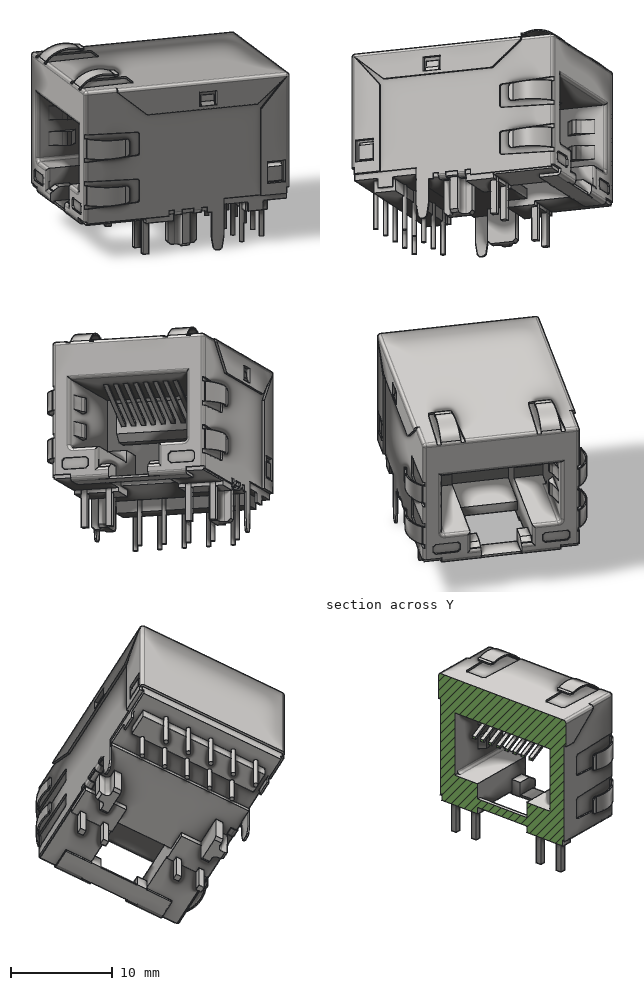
import cadquery as cq

sheet = 0.24
bend = 0.35
length = 21.37
top_z = 17.42

shield_half = 7.86
cover_half = shield_half + sheet
housing_half = 7.71
shield_back = length - sheet
shield_front_bottom = 3.91
shield_rear_bottom = 5.17
shield_notch_y = (8.83, 12.8)
shield_notch_top = 4.47
housing_bottom = 4.05
housing_front_bottom = 3.75
housing_rear_bottom = 4.55
face_bottom = 4.1
lip_bottom = 3.45
lip_top = lip_bottom + sheet
lip_half = 5.96
lip_length = 2.29
lip_radius = 0.43
lip_setback = 0.35

cover_front = 3.4
cover_back_bottom = 5.8
cover_corner_y = 21.0
cover_corner_z = 17.05
flap_bottom = 14.53
flap_slope_run = 3.05
rear_flap_front = 18.34
rear_flap_peak = 14.0

window_depth = 0.38
upper_window_y = (11.92, 13.72)
upper_window_z = (14.87, 16.3)
upper_catch_y = (12.14, 13.55)
upper_catch_profile = [(window_depth, 14.87), (0.06, 14.87), (0.25, 15.28), (0.3, 15.92), (window_depth, 15.92)]
lower_window_y = (19.02, 20.88)
lower_window_z = (6.35, 8.57)
lower_catch_y = (19.02, 20.55)
lower_catch_profile = [(window_depth, 6.54), (0.09, 6.54), (0.09, 8.01), (window_depth, 8.33)]

cavity_half = 5.98
cavity_top = 13.6
cavity_corner = 0.32
ledge_z = 6.73
raised_ledge_z = 7.93
raised_ledge_y = 8.98
channel_half = 3.1
channel_step_z = 4.65
notch_half = 2.03
floor_z = 5.06
floor_front = 7.27
cavity_depth = 11.75
block_front = 0.32
block_back = 2.35
mouth_radius = 0.32
plug_spring_heights = (8.9, 11.52)

finger_reach = 4.34
finger_thickness = 0.15
finger_front_half = 1.0
finger_back_half = 0.88
slot_front_half = 1.4
slot_back_half = 1.18
slot_depth = 0.2
slot_length = 5.73
slot_corner = 0.25
finger_corner = 0.28
top_finger_peak = 18.5
side_finger_peak = 9.06
top_finger_x = 5.02
side_finger_heights = (6.82, 11.6)

pin_diameter = 0.45
pin_pitch = 1.26
pin_count = 10
pin_rows = (19.7, 17.18)
led_pin_size = 0.6
led_pin_y = 6.73
led_pin_places = (4.1, 6.65)


def box(x, y, z):
    """Box from (low, high) pairs along each axis."""
    size = (x[1] - x[0], y[1] - y[0], z[1] - z[0])
    return cq.Workplane("XY").box(*size, centered=False).translate((x[0], y[0], z[0]))


def centred_box(half_width, y, z):
    return box((-half_width, half_width), y, z)


def side_prism(points, x):
    """Prism with a (y, z) outline, spanning the (low, high) pair along X."""
    return cq.Workplane("YZ").polyline(points).close().extrude(x[1] - x[0]).translate((x[0], 0, 0))


def on_both_sides(shape):
    return shape.union(shape.mirror("YZ"))


def shield():
    body = centred_box(shield_half, (0, shield_back), (shield_front_bottom, top_z))
    body = body.edges("|Z and <Y").fillet(bend)
    body = body.faces(">Z").edges().fillet(bend)
    corner_relief = box((lip_half, cover_half), (0, sheet), (0, face_bottom))
    rear_relief_front = 14.55
    rear_relief = centred_box(cover_half, (rear_relief_front, length), (0, shield_rear_bottom))
    underside = centred_box(housing_half, (sheet, shield_back), (0, housing_bottom))
    body = body.cut(on_both_sides(corner_relief)).cut(rear_relief).cut(underside)
    lip = centred_box(lip_half, (0, lip_length), (lip_bottom, face_bottom))
    lip = lip.edges("<Y and <Z").fillet(lip_radius)
    square_edge = centred_box(notch_half, (lip_setback, lip_length), (lip_bottom, lip_top))
    setback = centred_box(notch_half, (0, lip_setback), (0, lip_top))
    return body.union(lip).cut(setback).union(square_edge)


def ground_leg():
    back, front, thickness = 14.55, 13.27, 0.2
    taper_start, tip_inset, tip_chamfer = 1.37, 0.2, 0.21
    outline = [
        (front, shield_rear_bottom), (front, taper_start), (front + tip_inset, tip_chamfer),
        (front + tip_inset + tip_chamfer, 0), (back - tip_inset - tip_chamfer, 0),
        (back - tip_inset, tip_chamfer), (back, taper_start), (back, shield_rear_bottom),
    ]
    return side_prism(outline, (shield_half - thickness, shield_half))


def housing():
    front_step, rear_step = 6.45, 14.7
    outline = [
        (sheet, housing_front_bottom), (front_step, housing_front_bottom),
        (front_step, housing_bottom), (rear_step, housing_bottom), (rear_step, housing_rear_bottom),
        (shield_back, housing_rear_bottom), (shield_back, floor_z + bend), (sheet, floor_z + bend),
    ]
    body = side_prism(outline, (-housing_half, housing_half))

    tab_front, tab_back, tab_bottom = 17.14, 18.68, 3.6
    root_radius, tab_width = 0.21, 0.2
    tab_root = housing_rear_bottom - root_radius
    tab = (
        cq.Workplane("YZ").moveTo(tab_front - root_radius, housing_rear_bottom)
        .radiusArc((tab_front, tab_root), root_radius)
        .lineTo(tab_front, tab_bottom).lineTo(tab_back, tab_bottom).lineTo(tab_back, tab_root)
        .radiusArc((tab_back + root_radius, housing_rear_bottom), root_radius)
        .lineTo(tab_back + root_radius, floor_z).lineTo(tab_front - root_radius, floor_z)
        .close().extrude(tab_width).translate((housing_half - tab_width, 0, 0))
    )

    seat_z = 3.35
    rear_seat_half, front_seat_half = 6.84, 7.67
    rear_seat = centred_box(rear_seat_half, (17.15, 19.45), (seat_z, housing_rear_bottom))
    front_seat = box((channel_half, front_seat_half), (front_step, 9.34), (seat_z, housing_bottom))
    return body.union(rear_seat).union(on_both_sides(tab.union(front_seat)))


def mounting_post():
    """T-shaped locating post with chamfered tips and rounded inner corners."""
    centre_x, centre_y, bottom = 5.7, 10.83, 0.5
    arm_reach, arm_half = 1.5, 0.4
    corner_radius, tip_chamfer = 0.43, 0.3
    arm_z = (bottom, housing_bottom)
    bar = centred_box(arm_half, (-arm_reach, arm_reach), arm_z)
    bar = bar.faces("<Z").edges("|X").chamfer(tip_chamfer)
    arm = box((0, arm_reach), (-arm_half, arm_half), arm_z)
    arm = arm.faces("<Z").edges(">X").chamfer(tip_chamfer)
    margin = 0.02
    corners = cq.selectors.BoxSelector(
        (arm_half - margin, -arm_half - margin, 0), (arm_half + margin, arm_half + margin, housing_bottom))
    post = bar.union(arm).edges("|Z").edges(corners).fillet(corner_radius)
    return post.translate((centre_x, centre_y, 0))


def seat_tabs():
    """Pair of rolled tabs under the notch in the right side of the shield."""
    width, bottom, root, roll = 0.8, 3.9, 7.05, 0.4
    placed = cq.Workplane("XY")
    for front in (9.4, 11.43):
        tab = box((root, shield_half), (front, front + width), (bottom, shield_notch_top))
        tab = tab.edges(">X and <Z").fillet(roll)
        placed = placed.union(tab)
    return placed


def cover():
    blank = centred_box(cover_half, (cover_front, length), (shield_rear_bottom, top_z))
    blank = blank.edges("|Z and >Y").fillet(bend)
    blank = blank.faces(">Z").edges("not <Y").fillet(bend)
    side_span = (-cover_half, cover_half)
    top_flap = side_prism([
        (cover_front, top_z), (cover_front, cover_corner_z),
        (cover_front + flap_slope_run, flap_bottom), (cover_corner_y - flap_slope_run, flap_bottom),
        (cover_corner_y, cover_corner_z), (length, cover_corner_z), (length, top_z),
    ], side_span)
    rear_flap = side_prism([
        (cover_corner_y, cover_corner_z), (rear_flap_front, rear_flap_peak),
        (rear_flap_front, shield_rear_bottom), (cover_corner_y, shield_rear_bottom),
        (cover_corner_y, cover_back_bottom), (length, cover_back_bottom), (length, cover_corner_z),
    ], side_span)
    inside = centred_box(shield_half, (cover_front, shield_back), (shield_rear_bottom, top_z))
    return blank.intersect(top_flap.union(rear_flap).union(inside))


def latch_window(y, z):
    """Window through the right side flap."""
    return box((cover_half - window_depth, cover_half), y, z)


def latch_catch(y, profile):
    """Catch standing in a window, from (inset from the flap, height) points."""
    outline = [(cover_half - inset, height) for inset, height in profile]
    catch = cq.Workplane("XZ").polyline(outline).close().extrude(y[0] - y[1])
    return catch.translate((0, y[0], 0))


def mouth():
    """Stepped plug opening through the front plate."""
    outline = [
        (-cavity_half, cavity_top), (cavity_half, cavity_top), (cavity_half, ledge_z),
        (channel_half, ledge_z), (channel_half, channel_step_z), (-channel_half, channel_step_z),
        (-channel_half, ledge_z), (-cavity_half, ledge_z),
    ]
    opening = cq.Workplane("XZ").polyline(outline).close().extrude(-floor_front)
    margin = 0.02
    lower_corners = cq.selectors.BoxSelector(
        (-cavity_half - margin, 0, ledge_z - margin), (cavity_half + margin, floor_front, ledge_z + margin))
    outer_corners = cq.selectors.BoxSelector(
        (-channel_half - margin, 0, 0), (channel_half + margin, floor_front, cavity_top))
    return opening.edges("|Y").edges(lower_corners - outer_corners).fillet(cavity_corner)


def cavity():
    upper = centred_box(cavity_half, (floor_front, raised_ledge_y), (ledge_z, cavity_top))
    rear = centred_box(cavity_half, (raised_ledge_y, cavity_depth), (raised_ledge_z, cavity_top))
    channel = centred_box(channel_half, (floor_front, cavity_depth), (floor_z, raised_ledge_z))
    opening = centred_box(channel_half, (lip_length, floor_front), (0, ledge_z))
    notch = centred_box(notch_half, (0, lip_length), (lip_top, floor_z))
    return mouth().union(upper).union(rear).union(channel).union(opening).union(notch)


def rounded_mouth(body):
    """Body with the mouth cut and its front edges rolled inward."""
    margin = 0.02
    rim = cq.selectors.BoxSelector(
        (-cavity_half - margin, -margin, channel_step_z - margin),
        (cavity_half + margin, margin, cavity_top + margin),
    )
    return body.cut(mouth()).edges(rim).fillet(mouth_radius)


def latch_block():
    """Block beside the notch, with a top that rises from the front edge."""
    front_z = 4.7
    rise_end = 0.85
    outline = [
        (block_front, lip_bottom), (block_front, front_z), (rise_end, floor_z),
        (block_back, floor_z), (block_back, lip_bottom),
    ]
    return side_prism(outline, (notch_half, channel_half))


def contact_block():
    half_width, front = 4.32, 9.62
    bottom, chamfer_top, top = 9.02, 9.77, 12.8
    chamfer_run = 0.75
    outline = [
        (front, chamfer_top), (front, top), (cavity_depth, top), (cavity_depth, bottom),
        (front + chamfer_run, bottom),
    ]
    block = side_prism(outline, (-half_width, half_width))

    count, pitch, width, thickness = 8, 1.03, 0.45, 0.21
    root_y, tip_z = 3.85, 10.45
    wire = [
        (root_y, cavity_top), (front, tip_z), (front + thickness, tip_z),
        (front + thickness, tip_z + thickness), (root_y + 2 * thickness, cavity_top),
    ]
    for index in range(count):
        x = (index - (count - 1) / 2) * pitch
        block = block.union(side_prism(wire, (x - width / 2, x + width / 2)))
    return block


def plug_spring(height):
    """Bent tab on the right cavity wall that touches the plug."""
    tab_height, reach, knee = 1.4, 0.58, 0.32
    front, knee_y, peak_front, peak_back, back = 1.28, 2.56, 3.0, 3.42, 4.05
    outline = [
        (cavity_half, front), (cavity_half - knee, knee_y), (cavity_half - reach, peak_front),
        (cavity_half - reach, peak_back), (cavity_half, back),
    ]
    tab = cq.Workplane("XY").polyline(outline).close().extrude(tab_height)
    return tab.translate((0, 0, height - tab_height / 2))


def indicator_window():
    width, height, depth, corner = 2.71, 1.13, 0.2, 0.25
    centre_x, centre_z = 5.5, 5.17
    window = cq.Workplane("XZ").rect(width, height).extrude(-depth).edges("|Y").chamfer(corner)
    return window.translate((centre_x, 0, centre_z))


def tapered_plan(front_half, back_half, reach, corner):
    plan_height = 4.27
    outline = [(-front_half, 0), (front_half, 0), (back_half, reach), (-back_half, reach)]
    plan = cq.Workplane("XY").polyline(outline).close().extrude(plan_height)
    return plan.edges("|Z and >Y").fillet(corner).translate((0, 0, -plan_height / 2))


def finger():
    arc_radius, crown_y, arc_start, arc_end = 3.42, 2.74, 0.2, 3.9
    root_drop = 1.7
    arc_end_drop, tip_drop = 0.21, 0.17
    ring = (
        cq.Workplane("YZ").center(crown_y, -arc_radius)
        .circle(arc_radius).circle(arc_radius - finger_thickness)
        .extrude(finger_front_half, both=True)
        .intersect(centred_box(finger_front_half, (arc_start, arc_end), (-root_drop, 0)))
    )
    overlap = 0.06
    tip = side_prism([
        (arc_end - overlap, -arc_end_drop), (finger_reach, -tip_drop),
        (finger_reach, -tip_drop - finger_thickness),
        (arc_end - overlap, -arc_end_drop - finger_thickness),
    ], (-finger_front_half, finger_front_half))
    return ring.union(tip).intersect(
        tapered_plan(finger_front_half, finger_back_half, finger_reach, finger_corner))


def finger_slot():
    """Slot around a finger and its bent root, with the slot floor at Z = 0."""
    slot = tapered_plan(slot_front_half, slot_back_half, slot_length, slot_corner)
    slot = slot.intersect(centred_box(slot_front_half, (0, slot_length), (0, slot_depth + bend)))
    return slot.cut(centred_box(finger_front_half, (0, bend), (0, slot_depth + bend)))


def placed_on_top(shape, height):
    return on_both_sides(shape.translate((top_finger_x, 0, height)))


def placed_on_sides(shape, distance):
    turned = shape.rotate((0, 0, 0), (0, 1, 0), 90)
    placed = cq.Workplane("XY")
    for height in side_finger_heights:
        placed = placed.union(turned.translate((distance, 0, height)))
    return on_both_sides(placed)


def pins():
    placed = cq.Workplane("XY")
    for index in range(pin_count):
        x = (index - (pin_count - 1) / 2) * pin_pitch
        y = pin_rows[index % 2]
        pin = cq.Workplane("XY").center(x, y).circle(pin_diameter / 2).extrude(floor_z)
        placed = placed.union(pin)
    for x in led_pin_places:
        pin = cq.Workplane("XY").center(x, led_pin_y).rect(led_pin_size, led_pin_size).extrude(floor_z)
        placed = placed.union(on_both_sides(pin))
    return placed


plastic = housing().cut(cavity()).union(on_both_sides(latch_block().union(mounting_post())))
body = rounded_mouth(shield()).cut(cavity()).union(plastic)
body = body.union(cover().cut(cavity())).union(on_both_sides(ground_leg()))

body = body.cut(on_both_sides(indicator_window()))
body = body.cut(placed_on_top(finger_slot(), top_z - slot_depth))
body = body.cut(placed_on_sides(finger_slot(), shield_half - slot_depth))
body = body.cut(on_both_sides(latch_window(upper_window_y, upper_window_z)))
body = body.cut(on_both_sides(latch_window(lower_window_y, lower_window_z)))
body = body.union(on_both_sides(latch_catch(upper_catch_y, upper_catch_profile)))
body = body.union(on_both_sides(latch_catch(lower_catch_y, lower_catch_profile)))

shield_notch = box((housing_half, cover_half), shield_notch_y, (0, shield_notch_top))
body = body.cut(on_both_sides(shield_notch)).union(on_both_sides(seat_tabs()))

for height in plug_spring_heights:
    body = body.union(on_both_sides(plug_spring(height)))

body = body.union(placed_on_top(finger(), top_finger_peak))
body = body.union(placed_on_sides(finger(), side_finger_peak))
result = body.union(contact_block()).union(pins())